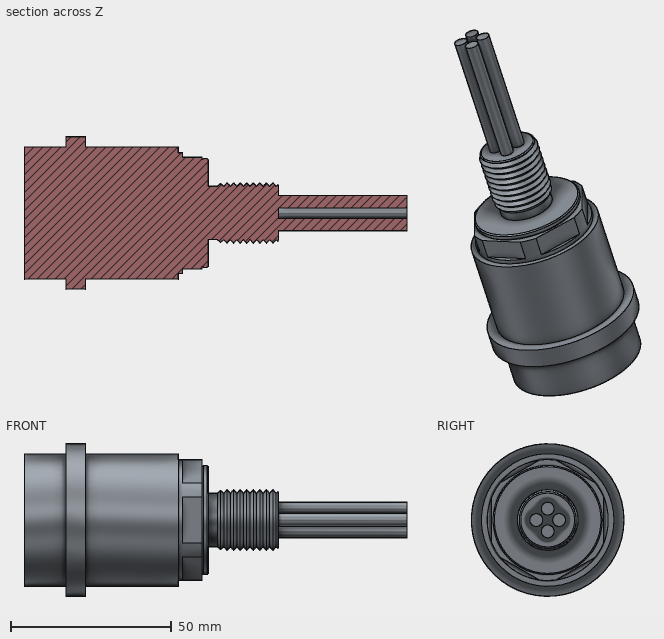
import cadquery as cq
import math

total_length = 119.25

body_diameter = 41.3
body_end = 48.0
collar_diameter = 47.6
collar_start = 12.95
collar_end = 19.05

nut_diameter = 37.72
nut_across_flats = 34.925
flat_count = 6
flats_start = 49.3
nut_end = 55.4

washer_diameter = 34.04
washer_end = 57.3
washer_chamfer = 0.4

neck_diameter = 16.76
ridge_diameter = 18.9
first_ridge_diameter = 18.4
ridge_start = 60.1
ridge_pitch = 2.04
ridge_count = 9
last_ridge_diameter = 17.7
last_ridge_run = 0.5

wire_diameter = 3.99
wire_length = 40.0
wire_circle_diameter = 7.1
wire_count = 4
neck_end = total_length - wire_length

socket_diameter = 7.94
socket_circle_diameter = 25.4
socket_count = 4
socket_start_angle = 45
socket_depth = collar_end


def cylinder(diameter, x_start, x_end):
    """Cylinder on the X axis between two X positions."""
    return cq.Workplane("YZ", origin=(x_start, 0, 0)).circle(diameter / 2).extrude(x_end - x_start)


def make_body():
    body = cylinder(body_diameter, 0, body_end)
    return body.union(cylinder(collar_diameter, collar_start, collar_end))


def make_nut():
    front_disc = cylinder(nut_diameter, body_end, flats_start)
    hexagon = (
        cq.Workplane("YZ", origin=(flats_start, 0, 0))
        .transformed(rotate=(0, 0, 180 / flat_count))
        .polygon(flat_count, nut_across_flats / math.cos(math.pi / flat_count))
        .extrude(nut_end - flats_start)
    )
    rounded_hexagon = hexagon.intersect(cylinder(nut_diameter, flats_start, nut_end))
    return front_disc.union(rounded_hexagon)


def make_washer():
    return cylinder(washer_diameter, nut_end, washer_end).edges().chamfer(washer_chamfer)


def make_ridged_neck():
    """Revolve the half profile of the neck, with a pointed ridge at every pitch."""
    root = neck_diameter / 2
    profile = [(washer_end, 0), (washer_end, root), (ridge_start, root)]
    for i in range(ridge_count):
        valley = ridge_start + i * ridge_pitch
        crest_diameter = first_ridge_diameter if i == 0 else ridge_diameter
        profile.append((valley + ridge_pitch / 2, crest_diameter / 2))
        profile.append((valley + ridge_pitch, root))
    last_valley = ridge_start + ridge_count * ridge_pitch
    profile.append((last_valley + last_ridge_run, last_ridge_diameter / 2))
    profile.append((neck_end, root))
    profile.append((neck_end, 0))
    return cq.Workplane("XY").polyline(profile).close().revolve(360, (0, 0, 0), (1, 0, 0))


def make_wires():
    return (
        cq.Workplane("YZ", origin=(neck_end, 0, 0))
        .polarArray(wire_circle_diameter / 2, 0, 360, wire_count)
        .circle(wire_diameter / 2)
        .extrude(wire_length)
    )


def make_sockets():
    return (
        cq.Workplane("YZ")
        .polarArray(socket_circle_diameter / 2, socket_start_angle, 360, socket_count)
        .circle(socket_diameter / 2)
        .extrude(socket_depth)
    )


result = (
    make_body()
    .union(make_nut())
    .union(make_washer())
    .union(make_ridged_neck())
    .union(make_wires())
    .cut(make_sockets())
)